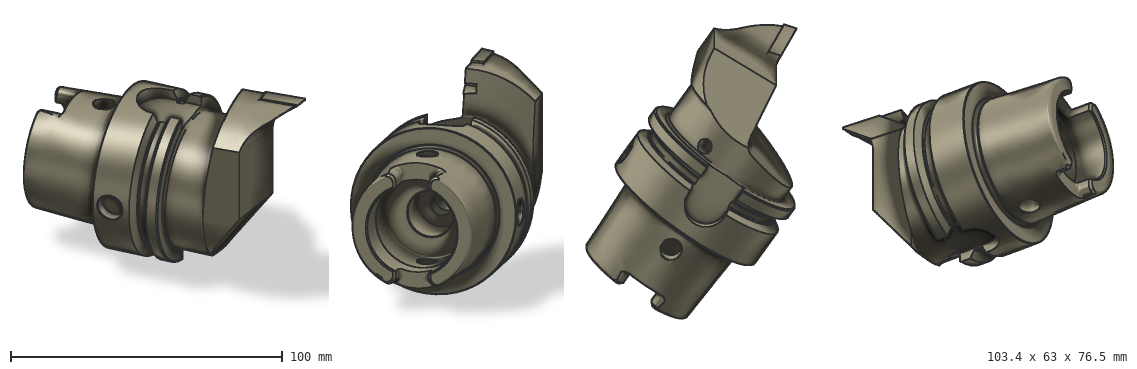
import cadquery as cq
import math


TOTAL_LENGTH = 103.43

SHANK_LENGTH = 31.7
TAPER_END_X = -1.95
TAPER_END_RADIUS = 24.25
TAPER_SLOPE = 1 / 20
SHANK_EDGE = 1.1
RELIEF_START_X = -1.2
RELIEF_RADIUS = 23.9
FACE_UNDERCUT_RADIUS = 25.3
FACE_UNDERCUT_DEPTH = 0.3
FACE_UNDERCUT_FILLET = 1.05

BORE_RADIUS = 17.0
BORE_CHAMFER = 0.55
BORE_LENGTH = 13.0
BORE_RELIEF = 0.05
CAVITY_FLOOR_X = -4.2
CAVITY_FLOOR_FILLET = 1.3
THREAD_RADIUS = 8.65
THREAD_CHAMFER = 0.3
THREAD_END_X = 12.0
DRILL_RADIUS = 4.3
DRILL_END_X = 20.0
DRILL_TIP_ANGLE = 118

SLOT_WIDTH = 12.54
TOP_SLOT_DEPTH = 10.1
BOTTOM_SLOT_DEPTH = 5.9
SLOT_FLOOR_FILLET = 1.4
SLOT_LIP_RADIUS = 3.1
SLOT_LIP_CENTRE_Z = 17.75
SLOT_LIP_OVERRUN = 22
SLOT_MOUTH_CHAMFER = 1.0
SLOT_REACH = 26.0

CROSS_HOLE_X = -9.05
CROSS_HOLE_RADIUS = 3.9
CROSS_HOLE_CHAMFER = 0.25

FLANGE_RADIUS = 31.5
FLANGE_WIDTH = 26.0
FLANGE_FRONT_EDGE = 0.25
FLANGE_REAR_EDGE = 0.5
GROOVE_START_X = 14.7
GROOVE_END_X = 21.6
GROOVE_FLANK_RUN = 1.8
GROOVE_FLANK_DEPTH = 3.1
GROOVE_ROOT_RADIUS = 27.35
GROOVE_ROOT_FILLET = 0.5

KEYWAY_FLOOR_HEIGHT = 26.3
TOP_KEYWAY_WIDTH = 18.0
TOP_KEYWAY_START_X = 5.0
BOTTOM_KEYWAY_WIDTH = 16.0
BOTTOM_KEYWAY_START_X = 5.6
KEYWAY_RUNOUT = 0.4

CHIP_HOLE_X = 6.95
CHIP_HOLE_RADIUS = 4.9
CHIP_HOLE_DEPTH = 4.5
CHIP_MOUTH_RADIUS = 5.1
CHIP_MOUTH_Y = 31.0

NECK_RADIUS = 26.0
NECK_FILLET = 0.9
NECK_END_X = 41.2
NECK_CUT_X = 31.6
NECK_CUT_ANGLE = 15
NECK_CUT_FILLET = 5.0
COOLANT_HOLE_X = 30.1
COOLANT_HOLE_RADIUS = 2.75
COOLANT_HOLE_DEPTH = 8.0
COOLANT_HOLE_ANGLE = 62

ARM_FACE_Y = -0.2
ARM_SIDE_Y = -26.7
ARM_BACK_X = 42.3
ARM_TOP_X = 46.6
ARM_TOP_Z = 43.2
ARM_RIM_RADIUS = 38.4
ARM_RIM_SLOPE = 0.038
ARM_FRONT_X = 58.85
ARM_FRONT_RELIEF = 0.073
ARM_CORNER_Z = 1.9
LOWER_FACE_ANGLE = 54.9
LOWER_FACE_RELIEF = 0.108
FLANK_GAP = 0.05
FLANK_RELIEF = 0.145
FLANK_FILLET = 9.5

POCKET_RELIEF_END_X = 46.8
POCKET_RELIEF_BOTTOM = 34.4
POCKET_RELIEF_TOP = 38.0

TIP_X = TOTAL_LENGTH - SHANK_LENGTH
TIP_Z = 45.0
INSERT_SIDE = 16.6
INSERT_ANGLE = 35
INSERT_THICKNESS = 4.76
INSERT_RELIEF_ANGLE = 5
INSERT_NOSE_RADIUS = 0.4
INSERT_TILT = 3

CLEAR = 100.0
ARM_CUT_MARGIN = 1.0


def turned(profile):
    """Turn an (X, radius) profile about the X axis."""
    return profile.revolve(360, (0, 0, 0), (1, 0, 0))


def taper_radius(x):
    return TAPER_END_RADIUS + TAPER_SLOPE * (x - TAPER_END_X)


def turned_blank():
    """Shank, flange and neck as one turned profile."""
    root_start_x = GROOVE_START_X + GROOVE_FLANK_RUN
    root_end_x = GROOVE_END_X - GROOVE_FLANK_RUN
    flank_radius = FLANGE_RADIUS - GROOVE_FLANK_DEPTH
    rim_x = -SHANK_LENGTH + SHANK_EDGE
    rim_radius = taper_radius(rim_x)
    arc_slack = SHANK_EDGE * (1 - math.sqrt(0.5))
    profile = (
        cq.Workplane("XY")
        .moveTo(-SHANK_LENGTH, 0)
        .lineTo(-SHANK_LENGTH, rim_radius - SHANK_EDGE)
        .threePointArc((-SHANK_LENGTH + arc_slack, rim_radius - arc_slack), (rim_x, rim_radius))
        .lineTo(TAPER_END_X, TAPER_END_RADIUS)
        .lineTo(RELIEF_START_X, RELIEF_RADIUS)
        .lineTo(FACE_UNDERCUT_DEPTH - FACE_UNDERCUT_FILLET, RELIEF_RADIUS)
        .radiusArc((FACE_UNDERCUT_DEPTH, RELIEF_RADIUS + FACE_UNDERCUT_FILLET), -FACE_UNDERCUT_FILLET)
        .lineTo(0, FACE_UNDERCUT_RADIUS)
        .lineTo(0, FLANGE_RADIUS - FLANGE_FRONT_EDGE)
        .lineTo(FLANGE_FRONT_EDGE, FLANGE_RADIUS)
        .lineTo(GROOVE_START_X, FLANGE_RADIUS)
        .lineTo(root_start_x, flank_radius)
        .lineTo(root_start_x, GROOVE_ROOT_RADIUS + GROOVE_ROOT_FILLET)
        .radiusArc((root_start_x + GROOVE_ROOT_FILLET, GROOVE_ROOT_RADIUS), -GROOVE_ROOT_FILLET)
        .lineTo(root_end_x - GROOVE_ROOT_FILLET, GROOVE_ROOT_RADIUS)
        .radiusArc((root_end_x, GROOVE_ROOT_RADIUS + GROOVE_ROOT_FILLET), -GROOVE_ROOT_FILLET)
        .lineTo(root_end_x, flank_radius)
        .lineTo(GROOVE_END_X, FLANGE_RADIUS)
        .lineTo(FLANGE_WIDTH - FLANGE_REAR_EDGE, FLANGE_RADIUS)
        .lineTo(FLANGE_WIDTH, FLANGE_RADIUS - FLANGE_REAR_EDGE)
        .lineTo(FLANGE_WIDTH, NECK_RADIUS + NECK_FILLET)
        .radiusArc((FLANGE_WIDTH + NECK_FILLET, NECK_RADIUS), -NECK_FILLET)
        .lineTo(ARM_BACK_X, NECK_RADIUS)
        .lineTo(ARM_BACK_X, 0)
        .close()
    )
    return turned(profile)


def shank_cavity():
    """Stepped clamping bore with a rounded floor, threaded hole and drill point."""
    rear_radius = BORE_RADIUS + BORE_RELIEF
    floor_radius = rear_radius - CAVITY_FLOOR_FILLET
    bore_end_x = -SHANK_LENGTH + BORE_LENGTH
    drill_tip = DRILL_RADIUS / math.tan(math.radians(DRILL_TIP_ANGLE / 2))
    profile = (
        cq.Workplane("XY")
        .moveTo(-SHANK_LENGTH, 0)
        .lineTo(-SHANK_LENGTH, BORE_RADIUS + BORE_CHAMFER)
        .lineTo(-SHANK_LENGTH + BORE_CHAMFER, BORE_RADIUS)
        .lineTo(bore_end_x, BORE_RADIUS)
        .lineTo(bore_end_x, rear_radius)
        .lineTo(CAVITY_FLOOR_X - CAVITY_FLOOR_FILLET, rear_radius)
        .radiusArc((CAVITY_FLOOR_X, floor_radius), CAVITY_FLOOR_FILLET)
        .lineTo(CAVITY_FLOOR_X, THREAD_RADIUS + THREAD_CHAMFER)
        .lineTo(CAVITY_FLOOR_X + THREAD_CHAMFER, THREAD_RADIUS)
        .lineTo(THREAD_END_X, THREAD_RADIUS)
        .lineTo(THREAD_END_X, DRILL_RADIUS)
        .lineTo(DRILL_END_X, DRILL_RADIUS)
        .lineTo(DRILL_END_X + drill_tip, 0)
        .close()
    )
    return turned(profile)


def slot_outline(x, growth):
    """(Y, Z) outline of a drive slot: straight sides that roll outwards over a rounded lip."""
    half = SLOT_WIDTH / 2 + growth
    lip_radius = SLOT_LIP_RADIUS - growth
    lip_y = half + lip_radius
    overrun = math.radians(SLOT_LIP_OVERRUN)
    lip_end_y = lip_y + lip_radius * math.sin(overrun)
    lip_end_z = SLOT_LIP_CENTRE_Z + lip_radius * math.cos(overrun)
    reach_z = lip_end_z - (SLOT_REACH - lip_end_y) * math.tan(overrun)
    return (
        cq.Workplane("YZ", origin=(x, 0, 0))
        .moveTo(half, 0)
        .lineTo(half, SLOT_LIP_CENTRE_Z)
        .radiusArc((lip_end_y, lip_end_z), lip_radius)
        .lineTo(SLOT_REACH, reach_z)
        .lineTo(SLOT_REACH, SLOT_REACH)
        .lineTo(-SLOT_REACH, SLOT_REACH)
        .lineTo(-SLOT_REACH, reach_z)
        .lineTo(-lip_end_y, lip_end_z)
        .radiusArc((-half, SLOT_LIP_CENTRE_Z), lip_radius)
        .lineTo(-half, 0)
        .close()
    )


def drive_slot(depth):
    """Slot across the upper shank wall with a rounded floor edge and a chamfered mouth."""
    start_x = -SHANK_LENGTH
    mouth_end_x = start_x + SLOT_MOUTH_CHAMFER
    slot = slot_outline(start_x, 0).extrude(depth).faces(">X").edges().fillet(SLOT_FLOOR_FILLET)
    mouth_wires = [
        slot_outline(start_x, SLOT_MOUTH_CHAMFER).val(),
        slot_outline(mouth_end_x, 0).val(),
    ]
    return slot.union(cq.Workplane(cq.Solid.makeLoft(mouth_wires, True)))


def keyway(width, start_x):
    """Round-ended keyway cut down to a flat floor, above the axis."""
    half = width / 2
    end_x = FLANGE_WIDTH + KEYWAY_RUNOUT
    return (
        cq.Workplane("XY", origin=(0, 0, KEYWAY_FLOOR_HEIGHT))
        .moveTo(end_x, -half)
        .lineTo(start_x + half, -half)
        .threePointArc((start_x, 0), (start_x + half, half))
        .lineTo(end_x, half)
        .close()
        .extrude(FLANGE_RADIUS)
    )


def cross_hole(side):
    """Clamping access hole through one shank wall, with a small countersink; side is +1 or -1."""
    hole = cq.Workplane("XY").center(CROSS_HOLE_X, 0).circle(CROSS_HOLE_RADIUS).extrude(side * SLOT_REACH)
    mouth_z = taper_radius(CROSS_HOLE_X) - CROSS_HOLE_CHAMFER
    mouth = (
        cq.Workplane("XY", origin=(CROSS_HOLE_X, 0, side * mouth_z))
        .circle(CROSS_HOLE_RADIUS + CROSS_HOLE_CHAMFER)
        .extrude(side * SLOT_REACH)
    )
    return hole.union(mouth)


def chip_hole():
    """Blind hole for the data chip in the -Y side of the flange."""
    floor_y = CHIP_HOLE_DEPTH - FLANGE_RADIUS
    hole = cq.Workplane("XZ", origin=(CHIP_HOLE_X, floor_y, 0)).circle(CHIP_HOLE_RADIUS)
    mouth = cq.Workplane("XZ", origin=(CHIP_HOLE_X, -CHIP_MOUTH_Y, 0)).circle(CHIP_MOUTH_RADIUS)
    return hole.extrude(FLANGE_RADIUS).union(mouth.extrude(FLANGE_RADIUS))


def coolant_hole():
    """Radial blind hole in the neck."""
    angle = math.radians(COOLANT_HOLE_ANGLE)
    outward = cq.Vector(0, -math.cos(angle), -math.sin(angle))
    start = cq.Vector(COOLANT_HOLE_X, 0, 0) + outward * (NECK_RADIUS - COOLANT_HOLE_DEPTH)
    return cq.Workplane(cq.Solid.makeCylinder(COOLANT_HOLE_RADIUS, CLEAR, start, outward))


def neck_back_cut():
    """Everything on the rake side of the neck beyond a slanting face that runs into the arm face."""
    slope = math.tan(math.radians(NECK_CUT_ANGLE))
    foot_x = NECK_CUT_X + slope * (NECK_RADIUS - ARM_FACE_Y)
    top_x = NECK_CUT_X - slope * (FLANGE_RADIUS - NECK_RADIUS)
    return (
        cq.Workplane("XY", origin=(0, 0, -CLEAR / 2))
        .moveTo(foot_x, ARM_FACE_Y)
        .lineTo(top_x, FLANGE_RADIUS)
        .lineTo(CLEAR, FLANGE_RADIUS)
        .lineTo(CLEAR, ARM_FACE_Y)
        .close()
        .extrude(CLEAR)
        .edges(cq.selectors.NearestToPointSelector((foot_x, ARM_FACE_Y, 0)))
        .fillet(NECK_CUT_FILLET)
    )


def insert_corners():
    """Sharp corners (X, Z) of the insert's rake face, cutting corner first."""
    half = math.radians(INSERT_ANGLE / 2)
    upper = math.radians(INSERT_TILT)
    lower = math.radians(INSERT_TILT + INSERT_ANGLE)
    diagonal = upper + half
    nose_x = TIP_X - INSERT_NOSE_RADIUS
    nose_z = TIP_Z - INSERT_NOSE_RADIUS
    reach = INSERT_NOSE_RADIUS / math.sin(half)
    x = nose_x + reach * math.cos(diagonal)
    z = nose_z + reach * math.sin(diagonal)
    upper_run = INSERT_SIDE * math.cos(upper)
    upper_rise = INSERT_SIDE * math.sin(upper)
    lower_run = INSERT_SIDE * math.cos(lower)
    lower_rise = INSERT_SIDE * math.sin(lower)
    return [
        (x, z),
        (x - upper_run, z - upper_rise),
        (x - upper_run - lower_run, z - upper_rise - lower_rise),
        (x - lower_run, z - lower_rise),
    ]


def tapered_insert():
    """Rhombic prism that narrows away from the rake face, with rounded acute corners."""
    offset = -INSERT_THICKNESS * math.tan(math.radians(INSERT_RELIEF_ANGLE))
    rake_face = cq.Workplane("XZ").polyline(insert_corners()).close()
    back_face = cq.Workplane("XZ").polyline(insert_corners()).close().offset2D(offset, "intersection")
    back_wire = back_face.val().translate(cq.Vector(0, -INSERT_THICKNESS, 0))
    body = cq.Workplane(cq.Solid.makeLoft([rake_face.val(), back_wire], True))
    cutting, _, opposite, _ = insert_corners()
    for x, z in (cutting, opposite):
        corner = cq.selectors.NearestToPointSelector((x, -INSERT_THICKNESS / 2, z))
        body = body.edges(corner).fillet(INSERT_NOSE_RADIUS)
    return body


def arm_front_outline(y):
    """(X, Z) outline of the space in front of the arm at the given Y."""
    depth = -y
    front_x = ARM_FRONT_X - ARM_FRONT_RELIEF * depth
    lower = math.radians(LOWER_FACE_ANGLE)
    corner_rise = (LOWER_FACE_RELIEF - ARM_FRONT_RELIEF * math.sin(lower)) / math.cos(lower)
    corner_z = ARM_CORNER_Z + depth * corner_rise
    bottom_x = front_x - (corner_z + CLEAR / 2) / math.tan(lower)
    flank = math.radians(INSERT_TILT + INSERT_ANGLE)
    tip_x, tip_z = insert_corners()[0]
    set_back = FLANK_GAP + FLANK_RELIEF * depth
    root_z = tip_z + (front_x - tip_x) * math.tan(flank) + set_back / math.cos(flank)
    top_z = root_z + (CLEAR - front_x) * math.tan(flank)
    return [
        (bottom_x, -CLEAR / 2),
        (front_x, corner_z),
        (front_x, root_z),
        (CLEAR, top_z),
        (CLEAR, -CLEAR / 2),
    ]


def arm_front_cut():
    """Relieved space ahead of the arm: below it, in front of it and under the insert flank."""
    near_y = ARM_CUT_MARGIN
    far_y = ARM_SIDE_Y - ARM_CUT_MARGIN
    wires = [
        cq.Workplane("XZ", origin=(0, y, 0)).polyline(arm_front_outline(y)).close().val()
        for y in (near_y, far_y)
    ]
    root_x, root_z = arm_front_outline((near_y + far_y) / 2)[2]
    root = cq.selectors.NearestToPointSelector((root_x, (near_y + far_y) / 2, root_z))
    return cq.Workplane(cq.Solid.makeLoft(wires, True)).edges(root).fillet(FLANK_FILLET)


def arm_blank():
    """Turned disc with a conical back and a flatter conical rim, trimmed to the arm's section."""
    side = -ARM_SIDE_Y
    end_x = TIP_X + ARM_CUT_MARGIN
    fillet_x = ARM_BACK_X - NECK_END_X
    back_start = NECK_RADIUS + fillet_x
    back_slope = (ARM_TOP_Z - back_start) / (ARM_TOP_X - ARM_BACK_X)
    disc = turned(
        cq.Workplane("XY")
        .moveTo(NECK_END_X, 0)
        .lineTo(NECK_END_X, NECK_RADIUS)
        .radiusArc((ARM_BACK_X, back_start), -fillet_x)
        .lineTo(end_x, back_start + back_slope * (end_x - ARM_BACK_X))
        .lineTo(end_x, 0)
        .close()
    )
    rim = turned(
        cq.Workplane("XY")
        .lineTo(0, ARM_RIM_RADIUS - ARM_RIM_SLOPE * ARM_TOP_X)
        .lineTo(end_x, ARM_RIM_RADIUS + ARM_RIM_SLOPE * (end_x - ARM_TOP_X))
        .lineTo(end_x, 0)
        .close()
    ).translate((0, 0, ARM_TOP_Z - ARM_RIM_RADIUS))
    section = (
        cq.Workplane("YZ")
        .moveTo(ARM_FACE_Y, CLEAR)
        .lineTo(-side, CLEAR)
        .lineTo(-side, 0)
        .radiusArc((ARM_FACE_Y, -math.sqrt(side**2 - ARM_FACE_Y**2)), -side)
        .close()
        .extrude(CLEAR)
    )
    return disc.intersect(rim).intersect(section)


def pocket_relief():
    """Clearance in the back of the arm around the rear corner of the insert."""
    return (
        cq.Workplane("XZ")
        .moveTo(NECK_END_X, POCKET_RELIEF_BOTTOM)
        .lineTo(POCKET_RELIEF_END_X, POCKET_RELIEF_BOTTOM)
        .lineTo(POCKET_RELIEF_END_X, POCKET_RELIEF_TOP)
        .lineTo(NECK_END_X, POCKET_RELIEF_TOP)
        .close()
        .extrude(INSERT_THICKNESS)
    )


def build_holder(insert_body):
    holder = turned_blank().cut(neck_back_cut()).union(arm_blank()).cut(arm_front_cut())
    holder = holder.cut(shank_cavity())
    holder = holder.cut(drive_slot(TOP_SLOT_DEPTH))
    holder = holder.cut(drive_slot(BOTTOM_SLOT_DEPTH).mirror("XY"))
    for side in (1, -1):
        holder = holder.cut(cross_hole(side))
    holder = holder.cut(keyway(TOP_KEYWAY_WIDTH, TOP_KEYWAY_START_X))
    holder = holder.cut(keyway(BOTTOM_KEYWAY_WIDTH, BOTTOM_KEYWAY_START_X).mirror("XY"))
    holder = holder.cut(chip_hole()).cut(coolant_hole())
    return holder.cut(pocket_relief()).cut(insert_body)


insert = tapered_insert()
holder = build_holder(insert)

result = cq.Compound.makeCompound([holder.solids().val(), insert.solids().val()])